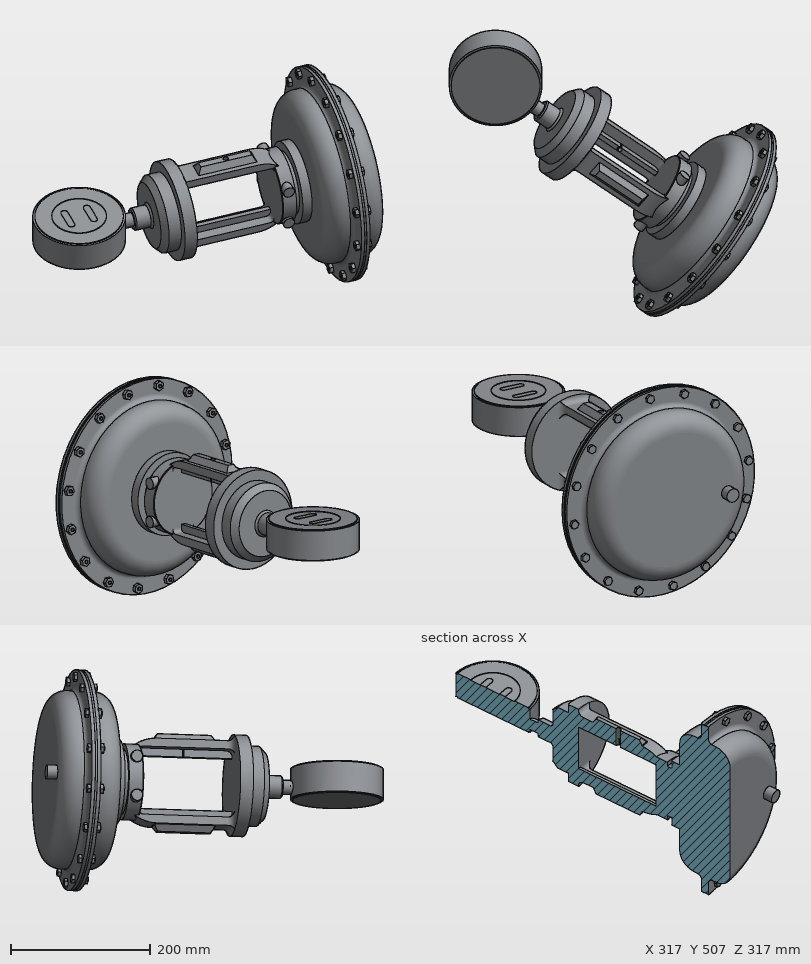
import cadquery as cq
import math


STUB_RADIUS = 10.0
STUB_X = -88.5
STUB_Z = -6.0
DOME_RADIUS = 128.5
DOME_ROUND = 27.0
DOME_HEIGHT = 45.5
CASE_MIDDLE = 60.5
DOME_FRONT = CASE_MIDDLE + DOME_HEIGHT
FLANGE_RADIUS = 158.5
FLANGE_THICKNESS = 13.0
FLANGE_REAR = CASE_MIDDLE - FLANGE_THICKNESS / 2
FLANGE_FRONT = CASE_MIDDLE + FLANGE_THICKNESS / 2
COVER_PLATE = 5.0
GASKET_RECESS = 0.5
FLANGE_BEND_RADIAL = 7.5
FLANGE_BEND_AXIAL = 5.5

BOLT_COUNT = 16
BOLT_CIRCLE_RADIUS = 148.5
FIRST_BOLT_ANGLE = 15.0
HEAD_ACROSS_CORNERS = 13.0
HEAD_HEIGHT = 4.5
NUT_ACROSS_CORNERS = 14.5
NUT_HEIGHT = 5.5
BOLT_RADIUS = 2.5
BOLT_END_BEYOND_NUT = 1.5

BOSS_RADIUS = 61.0
BOSS_FRONT = 120.0
NECK_RADIUS = 47.0
COLLAR_RADIUS = 55.0
COLLAR_REAR = 127.0
COLLAR_FRONT = 148.5
COLLAR_CHAMFER = 1.0
PIN_RADIUS = 8.35
PIN_STATION = 139.0
PIN_Z = 28.5

ARM_HALF_WIDTH = 19.5
ARM_OUTER_Z = 62.0
ARM_STEP_Z = 49.5
ARM_SHOULDER_ROUND = 53.0
ARM_SHOULDER_END = 173.5
ARM_FLARE = 8.5
COLLAR_FILLET = 6.0
RAIL_HALF_WIDTH = 3.5
RAIL_INNER_Z = 38.5
PAD_REAR = 172.0
PAD_FRONT = 261.0
PAD_HALF_WIDTH = 11.9
PAD_END_TAPER = 5.5
PAD_SIDE_TAPER = 6.85
PAD_HEIGHT = 9.4
PAD_HOLE_RADIUS = 3.65
PAD_HOLE_STATION = 215.5

YOKE_FLANGE_RADIUS = 73.0
YOKE_FLANGE_REAR = 286.5
YOKE_FLANGE_FRONT = 305.0
DRUM_RADIUS = 58.0
DRUM_FRONT = 333.0
DRUM_CHAMFER = 9.0
HUB_RADIUS = 16.5
HUB_FRONT = 359.5
HUB_CHAMFER = 2.0
HUB_BASE_FLARE = 3.0
STEM_RADIUS = 10.4
STEM_SHOULDER = 370.5
STEM_TIP_RADIUS = 9.5
STEM_TIP = 373.0
STEM_END = 395.5

GAUGE_RADIUS = 66.65
GAUGE_BOTTOM = -16.5
GAUGE_TOP = 30.15
CAP_INSET = 3.0
CAP_HEIGHT = 1.5
TOTAL_LENGTH = 507.0
GAUGE_Y = GAUGE_RADIUS - TOTAL_LENGTH
DIAL_RADIUS = 39.3
DIAL_DEPTH = 1.0
PLATE_HEIGHT = 0.5
PLATE_LENGTH = 39.0
PLATE_WIDTH = 10.0
PLATE_OFFSET = 17.0


def disc(radius, rear, front, x=0, z=0):
    """Cylinder along Y between two stations."""
    start = cq.Workplane("XZ", origin=(x, -rear, z))
    return start.circle(radius).extrude(front - rear)


def cover():
    """Front half of the case: dome, flange plate and half of the recessed gasket."""
    gasket_radius = FLANGE_RADIUS - GASKET_RECESS
    bend_radius = DOME_RADIUS + FLANGE_BEND_RADIAL
    flat_radius = DOME_RADIUS - DOME_ROUND
    plate_front = -FLANGE_FRONT
    plate_rear = plate_front + COVER_PLATE
    return (
        cq.Workplane("XY")
        .moveTo(0, -CASE_MIDDLE)
        .lineTo(gasket_radius, -CASE_MIDDLE)
        .lineTo(gasket_radius, plate_rear)
        .lineTo(FLANGE_RADIUS, plate_rear)
        .lineTo(FLANGE_RADIUS, plate_front)
        .lineTo(bend_radius, plate_front)
        .tangentArcPoint((-FLANGE_BEND_RADIAL, -FLANGE_BEND_AXIAL))
        .lineTo(DOME_RADIUS, -DOME_FRONT + DOME_ROUND)
        .tangentArcPoint((-DOME_ROUND, -DOME_ROUND))
        .lineTo(0, -DOME_FRONT)
        .close()
        .revolve(360, (0, 0), (0, 1))
    )


def diaphragm_case():
    front_cover = cover()
    rear_cover = front_cover.mirror("XZ", (0, -CASE_MIDDLE, 0))
    stub = disc(STUB_RADIUS, 0, CASE_MIDDLE, STUB_X, STUB_Z)
    return front_cover.union(rear_cover).union(stub)


def flange_bolt():
    """One bolt at the right-hand end of the bolt circle, a corner of each hexagon pointing outward."""

    def hexagon(rear, height, across_corners):
        start = cq.Workplane("XZ", origin=(BOLT_CIRCLE_RADIUS, -rear, 0))
        return start.polygon(6, across_corners).extrude(height)

    head = hexagon(FLANGE_REAR - HEAD_HEIGHT, HEAD_HEIGHT, HEAD_ACROSS_CORNERS)
    nut = hexagon(FLANGE_FRONT, NUT_HEIGHT, NUT_ACROSS_CORNERS)
    bolt_end = FLANGE_FRONT + NUT_HEIGHT + BOLT_END_BEYOND_NUT
    return [head, nut, disc(BOLT_RADIUS, FLANGE_REAR, bolt_end, BOLT_CIRCLE_RADIUS)]


def add_bolts(body):
    for i in range(BOLT_COUNT):
        angle = -(FIRST_BOLT_ANGLE + i * 360 / BOLT_COUNT)
        for piece in flange_bolt():
            body = body.union(piece.rotate((0, 0, 0), (0, 1, 0), angle))
    return body


def collar():
    """Stepped neck under the case, with two cross pins through the collar."""
    boss = disc(BOSS_RADIUS, DOME_FRONT, BOSS_FRONT)
    neck = disc(NECK_RADIUS, BOSS_FRONT, COLLAR_REAR)
    ring = disc(COLLAR_RADIUS, COLLAR_REAR, COLLAR_FRONT).faces("<Y").chamfer(COLLAR_CHAMFER)
    body = boss.union(neck).union(ring)
    for z in (-PIN_Z, PIN_Z):
        pin = cq.Workplane("YZ", origin=(0, -PIN_STATION, z))
        body = body.union(pin.circle(PIN_RADIUS).extrude(COLLAR_RADIUS, both=True))
    return body


def bar():
    """Wide upper bar of an arm, curving onto the collar and flaring into the yoke flange."""
    run = ARM_SHOULDER_END - PIN_STATION
    drop = ARM_SHOULDER_ROUND - math.sqrt(ARM_SHOULDER_ROUND**2 - run**2)
    foot_start = -YOKE_FLANGE_REAR + ARM_FLARE
    side = (
        cq.Workplane("YZ")
        .moveTo(-PIN_STATION, ARM_STEP_Z - COLLAR_FILLET)
        .lineTo(-COLLAR_FRONT, ARM_STEP_Z - COLLAR_FILLET)
        .radiusArc((-COLLAR_FRONT - COLLAR_FILLET, ARM_STEP_Z), -COLLAR_FILLET)
        .lineTo(foot_start, ARM_STEP_Z)
        .radiusArc((-YOKE_FLANGE_REAR, ARM_STEP_Z - ARM_FLARE), -ARM_FLARE)
        .lineTo(-YOKE_FLANGE_REAR, ARM_OUTER_Z + ARM_FLARE)
        .radiusArc((foot_start, ARM_OUTER_Z), -ARM_FLARE)
        .lineTo(-ARM_SHOULDER_END, ARM_OUTER_Z)
        .tangentArcPoint((-PIN_STATION, ARM_OUTER_Z - drop), relative=False)
        .close()
        .extrude(ARM_HALF_WIDTH + ARM_FLARE, both=True)
    )
    plan = (
        cq.Workplane("XY")
        .moveTo(-ARM_HALF_WIDTH, -PIN_STATION)
        .lineTo(ARM_HALF_WIDTH, -PIN_STATION)
        .lineTo(ARM_HALF_WIDTH, foot_start)
        .radiusArc((ARM_HALF_WIDTH + ARM_FLARE, -YOKE_FLANGE_REAR), -ARM_FLARE)
        .lineTo(-ARM_HALF_WIDTH - ARM_FLARE, -YOKE_FLANGE_REAR)
        .radiusArc((-ARM_HALF_WIDTH, foot_start), -ARM_FLARE)
        .close()
        .extrude(YOKE_FLANGE_RADIUS)
    )
    flange_limit = disc(YOKE_FLANGE_RADIUS, PIN_STATION, YOKE_FLANGE_REAR)
    return side.intersect(plan).intersect(flange_limit)


def rail():
    """Narrow rib under the bar, from the collar to the yoke flange."""
    start = cq.Workplane("XZ", origin=(0, -COLLAR_FRONT, (RAIL_INNER_Z + ARM_STEP_Z) / 2))
    section = start.rect(2 * RAIL_HALF_WIDTH, ARM_STEP_Z - RAIL_INNER_Z)
    return section.extrude(YOKE_FLANGE_REAR - COLLAR_FRONT)


def pad():
    length = PAD_FRONT - PAD_REAR
    base = cq.Workplane("XY", origin=(0, -(PAD_REAR + PAD_FRONT) / 2, ARM_OUTER_Z))
    return (
        base.rect(2 * PAD_HALF_WIDTH, length)
        .workplane(offset=PAD_HEIGHT)
        .rect(2 * (PAD_HALF_WIDTH - PAD_SIDE_TAPER), length - 2 * PAD_END_TAPER)
        .loft()
    )


def yoke():
    flange = disc(YOKE_FLANGE_RADIUS, YOKE_FLANGE_REAR, YOKE_FLANGE_FRONT)
    arm = bar().union(rail()).union(pad())
    hole = cq.Workplane("XY", origin=(0, -PAD_HOLE_STATION, 0)).circle(PAD_HOLE_RADIUS)
    upper_arm = arm.cut(hole.extrude(YOKE_FLANGE_RADIUS))
    return collar().union(flange).union(upper_arm).union(arm.mirror("XY"))


def drum_and_stem():
    drum = disc(DRUM_RADIUS, YOKE_FLANGE_FRONT, DRUM_FRONT).faces("<Y").chamfer(DRUM_CHAMFER)
    hub_and_stem = (
        cq.Workplane("XY")
        .moveTo(0, -DRUM_FRONT)
        .lineTo(HUB_RADIUS + HUB_BASE_FLARE, -DRUM_FRONT)
        .lineTo(HUB_RADIUS, -DRUM_FRONT - HUB_BASE_FLARE)
        .lineTo(HUB_RADIUS, -HUB_FRONT + HUB_CHAMFER)
        .lineTo(HUB_RADIUS - HUB_CHAMFER, -HUB_FRONT)
        .lineTo(STEM_RADIUS, -HUB_FRONT)
        .lineTo(STEM_RADIUS, -STEM_SHOULDER)
        .lineTo(STEM_TIP_RADIUS, -STEM_TIP)
        .lineTo(STEM_TIP_RADIUS, -STEM_END)
        .lineTo(0, -STEM_END)
        .close()
        .revolve(360, (0, 0), (0, 1))
    )
    return drum.union(hub_and_stem)


def gauge():
    """Round housing with a stepped cap at each end and a sunken dial on top."""
    height = GAUGE_TOP - GAUGE_BOTTOM
    base = cq.Workplane("XY", origin=(0, GAUGE_Y, GAUGE_BOTTOM))
    core = base.circle(GAUGE_RADIUS - CAP_INSET).extrude(height)
    rim = base.workplane(offset=CAP_HEIGHT).circle(GAUGE_RADIUS).extrude(height - 2 * CAP_HEIGHT)
    housing = core.union(rim)
    dial_floor = cq.Workplane("XY", origin=(0, GAUGE_Y, GAUGE_TOP - DIAL_DEPTH))
    housing = housing.cut(dial_floor.circle(DIAL_RADIUS).extrude(DIAL_DEPTH))
    plate_centers = [(0, -PLATE_OFFSET), (0, PLATE_OFFSET)]
    plates = dial_floor.pushPoints(plate_centers).slot2D(PLATE_LENGTH, PLATE_WIDTH).extrude(PLATE_HEIGHT)
    return housing.union(plates)


case = add_bolts(diaphragm_case())
result = case.union(yoke()).union(drum_and_stem()).union(gauge())